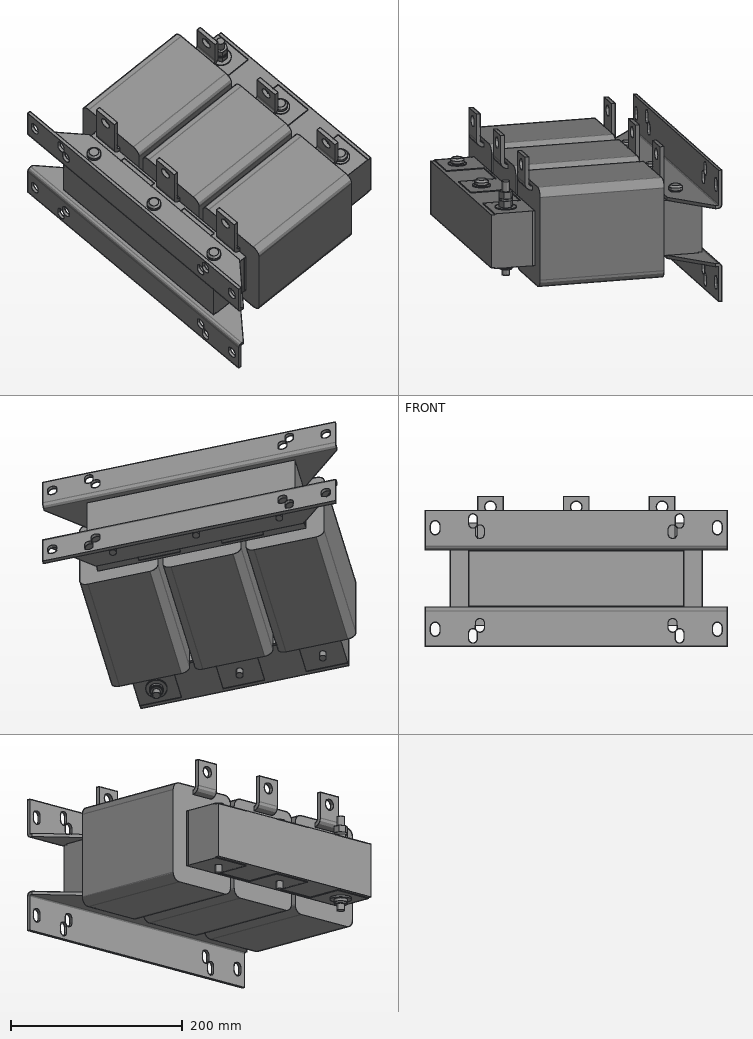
import cadquery as cq
import math


PITCH = 100.0
LEG_W = 50.0
CORE_X = 2 * PITCH + LEG_W
CORE_Y = 256.3
CORE_Z = 64.0
PHASES = [-PITCH, 0, PITCH]

COIL_X = 94.0
COIL_Y = 150.5
COIL_Z = 119.7
COIL_LIFT = 5.0
COIL_RADIUS = 10.0

END_PLATE_T = 2.8
END_PLATE_LIP = 0.5
YOKE_W = (CORE_Y - COIL_Y) / 2 - END_PLATE_T
STRIP_T = 1.0
STRIP_Y = 247.0
STRIP_TOP = CORE_Z / 2 + STRIP_T

BRACKET_X = 352.0
BRACKET_T = 4.0
BRACKET_FRONT = -137.0
BRACKET_BACK = -85.5
BRACKET_END = 79.2
BEND_RADIUS = 5.0
TAPER_END_Y = -129.2
BRACKET_TOP = STRIP_TOP + BRACKET_T

SLOTS = [
    (164.5, 59.0, 11.0, 16.2),
    (120.5, 67.0, 10.0, 16.5),
    (112.3, 54.5, 10.5, 16.0),
]

TAB_W = 30.0
TAB_T = 5.0
TAB_TOP = 95.7
TAB_INNER_R = 4.2
TAB_OUTER_R = TAB_INNER_R + TAB_T
TAB_HOLE_D = 13.0
TAB_HOLE_DROP = 12.3
TAB_ROOT = 3.5
FRONT_TAB_Z = 44.7
BACK_TAB_Z = 64.5

BOLT_Y = CORE_Y / 2 - YOKE_W / 2
SHAFT_D = 8.0
SHAFT_BOTTOM = -42.2
NECK_D = 12.5
HEAD_D = 16.2
HEAD_GAP = 1.8
HEAD_H = 6.0
HEAD_CHAMFER = 2.5
WASHER_D = 21.0
WASHER_T = 1.0

STUD_D = 9.0
STUD_TOP = 64.8
STUD_BOTTOM = -48.2
STUD_WASHER_D = 25.0
LOWER_WASHER_T = 2.0
NUT_CORNERS = 16.5
NUT_H = 8.0
LOCK_WASHER_D = 16.2
LOCK_WASHER_T = 2.5
LOWER_NUT_H = 3.5
COLLAR_D = 14.0
COLLAR_H = 2.0


def block(size_x, size_y, size_z, x=0, y=0, z=0):
    return cq.Workplane("XY").box(size_x, size_y, size_z).translate((x, y, z))


def disc(diameter, bottom, top, x, y):
    return cq.Workplane("XY", origin=(x, y, bottom)).circle(diameter / 2).extrude(top - bottom)


def hex_nut(bottom, height, x, y):
    """Hexagonal nut with two corners pointing along Y."""
    nut = cq.Workplane("XY").polygon(6, NUT_CORNERS).extrude(height)
    return nut.rotate((0, 0, 0), (0, 0, 1), 90).translate((x, y, bottom))


def make_core():
    yoke_y = (CORE_Y - YOKE_W) / 2
    plate_y = (COIL_Y + END_PLATE_T) / 2
    plate_x = CORE_X + 2 * END_PLATE_LIP
    core = block(LEG_W, CORE_Y, CORE_Z)
    for side in (-1, 1):
        core = core.union(block(CORE_X, YOKE_W, CORE_Z, y=side * yoke_y))
        core = core.union(block(plate_x, END_PLATE_T, 2 * STRIP_TOP, y=side * plate_y))
    for x in PHASES:
        core = core.union(block(LEG_W, STRIP_Y, 2 * STRIP_TOP, x))
    return core


def make_coil(x):
    coil = block(COIL_X, COIL_Y, COIL_Z, x, 0, COIL_LIFT)
    return coil.edges("|Y").fillet(COIL_RADIUS)


def make_bracket():
    """Upper angle bracket: tapered flat flange on the core and a slotted upright flange."""
    bend_y = BRACKET_FRONT + BEND_RADIUS
    inner_y = BRACKET_FRONT + BRACKET_T
    section = (
        cq.Workplane("YZ")
        .moveTo(BRACKET_BACK, STRIP_TOP)
        .lineTo(bend_y, STRIP_TOP)
        .radiusArc((BRACKET_FRONT, STRIP_TOP + BEND_RADIUS), BEND_RADIUS)
        .lineTo(BRACKET_FRONT, BRACKET_END)
        .lineTo(inner_y, BRACKET_END)
        .lineTo(inner_y, STRIP_TOP + BEND_RADIUS)
        .radiusArc((bend_y, BRACKET_TOP), -(BEND_RADIUS - BRACKET_T))
        .lineTo(BRACKET_BACK, BRACKET_TOP)
        .close()
        .extrude(BRACKET_X / 2, both=True)
    )
    outline = (
        cq.Workplane("XY")
        .polyline([
            (-BRACKET_X / 2, BRACKET_FRONT),
            (BRACKET_X / 2, BRACKET_FRONT),
            (BRACKET_X / 2, TAPER_END_Y),
            (CORE_X / 2, BRACKET_BACK),
            (-CORE_X / 2, BRACKET_BACK),
            (-BRACKET_X / 2, TAPER_END_Y),
        ])
        .close()
        .extrude(BRACKET_END)
    )
    bracket = section.intersect(outline)
    for x, z, width, length in SLOTS:
        slots = (
            cq.Workplane("XZ", origin=(0, inner_y, 0))
            .pushPoints([(-x, z), (x, z)])
            .slot2D(length, width, 90)
            .extrude(BRACKET_T)
        )
        bracket = bracket.cut(slots)
    return bracket


def make_front_tab(x, bend_z):
    """Terminal leaving the -Y face of a coil and bending upright."""
    face_y = -COIL_Y / 2
    root_y = face_y + TAB_ROOT
    tab = (
        cq.Workplane("YZ")
        .moveTo(root_y, bend_z - TAB_OUTER_R)
        .lineTo(face_y, bend_z - TAB_OUTER_R)
        .radiusArc((face_y - TAB_OUTER_R, bend_z), TAB_OUTER_R)
        .lineTo(face_y - TAB_OUTER_R, TAB_TOP)
        .lineTo(face_y - TAB_INNER_R, TAB_TOP)
        .lineTo(face_y - TAB_INNER_R, bend_z)
        .radiusArc((face_y, bend_z - TAB_INNER_R), -TAB_INNER_R)
        .lineTo(root_y, bend_z - TAB_INNER_R)
        .close()
        .extrude(TAB_W / 2, both=True)
    )
    hole = (
        cq.Workplane("XZ", origin=(0, face_y, TAB_TOP - TAB_HOLE_DROP))
        .circle(TAB_HOLE_D / 2)
        .extrude(TAB_OUTER_R)
    )
    return tab.cut(hole).translate((x, 0, 0))


def make_back_tab(x):
    return make_front_tab(x, BACK_TAB_Z).mirror("XZ")


def make_bolt(x, y, seat):
    """Bolt through a yoke; seat is the height of the surface below its head."""
    head_base = seat + HEAD_GAP
    head = disc(HEAD_D, head_base, head_base + HEAD_H, x, y).faces(">Z").chamfer(HEAD_CHAMFER)
    neck = disc(NECK_D, 0, head_base, x, y)
    return head.union(neck).union(disc(SHAFT_D, SHAFT_BOTTOM, 0, x, y))


def make_stud(x, y):
    """Long grounding stud with two nuts above the yoke and one below."""
    washer_top = STRIP_TOP + WASHER_T
    lock_base = washer_top + NUT_H
    upper_nut = lock_base + LOCK_WASHER_T
    washer_bottom = -STRIP_TOP - LOWER_WASHER_T
    nut_bottom = washer_bottom - LOWER_NUT_H
    stud = disc(STUD_D, STUD_BOTTOM, STUD_TOP, x, y)
    stud = stud.union(disc(STUD_WASHER_D, STRIP_TOP, washer_top, x, y))
    stud = stud.union(hex_nut(washer_top, NUT_H, x, y))
    stud = stud.union(disc(LOCK_WASHER_D, lock_base, upper_nut, x, y))
    stud = stud.union(hex_nut(upper_nut, NUT_H, x, y))
    stud = stud.union(disc(STUD_WASHER_D, washer_bottom, -STRIP_TOP, x, y))
    stud = stud.union(disc(LOCK_WASHER_D, nut_bottom, washer_bottom, x, y))
    return stud.union(disc(COLLAR_D, nut_bottom - COLLAR_H, nut_bottom, x, y))


result = make_core()
for phase_x in PHASES:
    result = result.union(make_coil(phase_x))
    result = result.union(make_front_tab(phase_x, FRONT_TAB_Z))
    result = result.union(make_back_tab(phase_x))

upper_bracket = make_bracket()
result = result.union(upper_bracket).union(upper_bracket.mirror("XY"))

for phase_x in PHASES:
    result = result.union(make_bolt(phase_x, -BOLT_Y, BRACKET_TOP))
for phase_x in PHASES[1:]:
    result = result.union(make_bolt(phase_x, BOLT_Y, STRIP_TOP))
    result = result.union(disc(WASHER_D, STRIP_TOP, STRIP_TOP + WASHER_T, phase_x, BOLT_Y))
result = result.union(make_stud(PHASES[0], BOLT_Y))